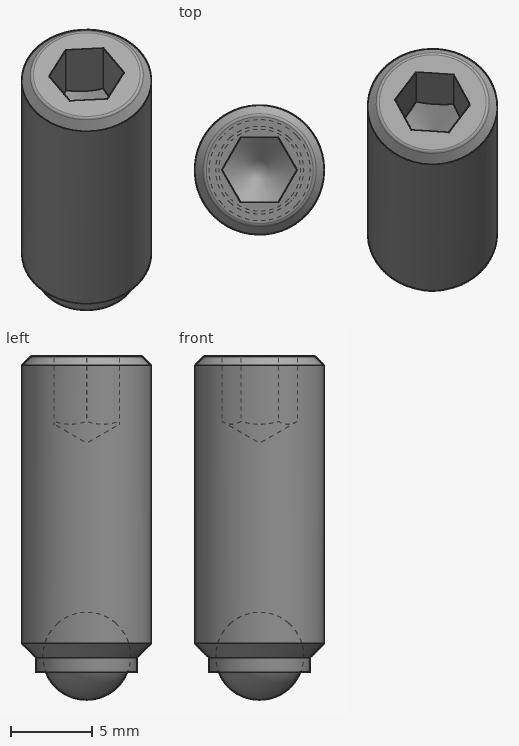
import cadquery as cq
import math

total_length = 21.2
body_diameter = 8.0
body_radius = body_diameter / 2

top_chamfer = 0.6
top_edge_rounding = 0.28
hex_across_flats = 4.0
hex_depth = 4.03
hex_tip_angle = 120.0

ball_radius = 2.71
ball_projection = 1.72
collar_height = 0.9
collar_radius = 3.12
collar_chamfer = body_radius - collar_radius

collar_bottom = ball_projection
collar_top = collar_bottom + collar_height
body_bottom = collar_top + collar_chamfer


def make_ball():
    """Full ball whose lower cap stands out of the collar."""
    return cq.Workplane("XY").sphere(ball_radius).translate((0, 0, ball_radius))


def make_turned_blank():
    """Turned screw body with a chamfered top, a lower chamfer and a collar."""
    blank = (
        cq.Workplane("XZ")
        .moveTo(0, collar_bottom)
        .lineTo(collar_radius, collar_bottom)
        .lineTo(collar_radius, collar_top)
        .lineTo(body_radius, body_bottom)
        .lineTo(body_radius, total_length - top_chamfer)
        .lineTo(body_radius - top_chamfer, total_length)
        .lineTo(0, total_length)
        .close()
        .revolve(360, (0, 0, 0), (0, 1, 0))
    )
    return blank.faces(">Z").edges().fillet(top_edge_rounding)


def make_hex_socket():
    """Hexagonal prism with corners on the X axis, ending in a conical tip."""
    corner_radius = hex_across_flats / math.sqrt(3)
    tip_height = corner_radius / math.tan(math.radians(hex_tip_angle / 2))
    tip_bottom = total_length - hex_depth - tip_height
    prism = (
        cq.Workplane("XY")
        .workplane(offset=tip_bottom)
        .polygon(6, 2 * corner_radius)
        .extrude(total_length - tip_bottom)
    )
    drill = (
        cq.Workplane("XZ")
        .moveTo(0, tip_bottom)
        .lineTo(corner_radius, total_length - hex_depth)
        .lineTo(corner_radius, total_length)
        .lineTo(0, total_length)
        .close()
        .revolve(360, (0, 0, 0), (0, 1, 0))
    )
    return prism.intersect(drill)


ball = make_ball()
screw_body = make_turned_blank().cut(make_hex_socket()).cut(ball)

result = cq.Compound.makeCompound([screw_body.val(), ball.val()])